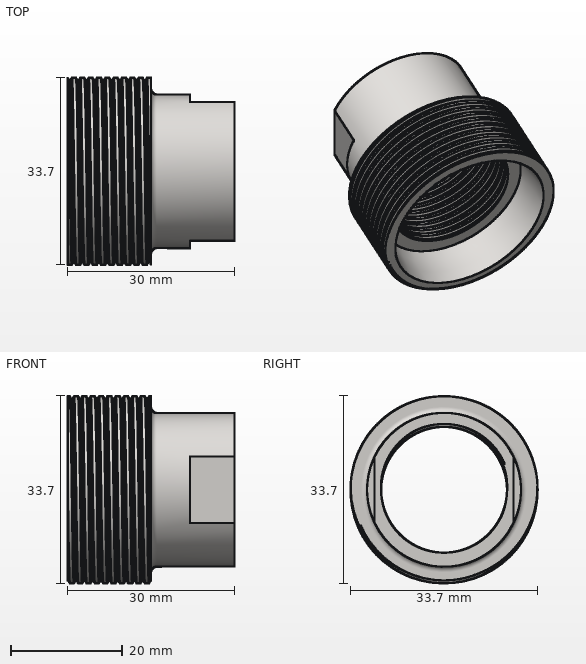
import cadquery as cq
import math

total_length = 30.0
collar_length = 15.0
flat_length = 8.0

collar_radius = 33.7 / 2
neck_radius = 27.7 / 2
neck_fillet = 1.0
width_across_flats = 25.0

seat_mouth_radius = 14.8
seat_floor_radius = 13.8
seat_depth = 7.4
bore_radius = 11.3

pitch = 1.5
groove_depth = 0.55
groove_floor_width = 0.2
flank_angle = 30.0
groove_overrun = 0.05


def make_body():
    """Collar and neck turned about X, with a fillet in the corner between them."""
    fillet_middle = neck_fillet * (1 - math.sqrt(0.5))
    return (
        cq.Workplane("XY")
        .lineTo(0, collar_radius)
        .lineTo(collar_length, collar_radius)
        .lineTo(collar_length, neck_radius + neck_fillet)
        .threePointArc(
            (collar_length + fillet_middle, neck_radius + fillet_middle),
            (collar_length + neck_fillet, neck_radius),
        )
        .lineTo(total_length, neck_radius)
        .lineTo(total_length, 0)
        .close()
        .revolve(360, (0, 0, 0), (1, 0, 0))
    )


def make_seat():
    """Tapered seat opening at the collar end."""
    return (
        cq.Workplane("XY")
        .lineTo(0, seat_mouth_radius)
        .lineTo(seat_depth, seat_floor_radius)
        .lineTo(seat_depth, 0)
        .close()
        .revolve(360, (0, 0, 0), (1, 0, 0))
    )


def make_thread_groove(crest_radius, floor_width, start_x, turns):
    """Right-handed helical groove cutter about X, with one turn more at each end than the given turns.

    The groove is cut from outside, down from crest_radius.
    At start_x the groove centre is at the bottom (-Z).
    """
    floor_half = floor_width / 2
    mouth_half = floor_half + (groove_depth + groove_overrun) * math.tan(math.radians(flank_angle))
    floor_radius = crest_radius - groove_depth
    mouth_radius = crest_radius + groove_overrun
    cutter_length = (turns + 2) * pitch

    section = [
        (mouth_radius, -mouth_half),
        (floor_radius, -floor_half),
        (floor_radius, floor_half),
        (mouth_radius, mouth_half),
    ]
    helices = [
        cq.Wire.makeHelix(pitch, cutter_length, radius, center=cq.Vector(0, 0, offset))
        for radius, offset in section
    ]
    sides = [
        cq.Face.makeRuledSurface(helices[i - 1], helices[i])
        for i in range(len(helices))
    ]
    ends = []
    for height in (0, cutter_length):
        corners = [cq.Vector(radius, 0, height + offset) for radius, offset in section]
        ends.append(cq.Face.makeFromWires(cq.Wire.makePolygon(corners, close=True)))
    groove = cq.Solid.makeSolid(cq.Shell.makeShell(sides + ends))

    return (
        cq.Workplane(obj=groove)
        .rotate((0, 0, 0), (0, 1, 0), 90)
        .translate((start_x - pitch, 0, 0))
    )


def make_bore_plug():
    """Threaded rod with the shape of the bore; its grooves leave the thread crests of the bore."""
    bore_length = total_length - seat_depth
    root_radius = bore_radius + groove_depth
    rod = cq.Workplane("YZ", origin=(seat_depth, 0, 0)).circle(root_radius).extrude(bore_length)
    crest_width = pitch - groove_floor_width - 2 * groove_depth * math.tan(math.radians(flank_angle))
    bore_turns = math.ceil(bore_length / pitch)
    start_x = total_length - bore_turns * pitch
    return rod.cut(make_thread_groove(root_radius, crest_width, start_x, bore_turns))


def make_flat_cutter(side):
    """Block that leaves a wrench flat on the neck; side is -1 or +1 along Y."""
    cut_depth = neck_radius - width_across_flats / 2
    centre_y = side * (width_across_flats + cut_depth) / 2
    return cq.Workplane("XY").box(flat_length, cut_depth, 2 * neck_radius).translate(
        (total_length - flat_length / 2, centre_y, 0)
    )


collar_turns = math.ceil(collar_length / pitch)
collar_groove = make_thread_groove(collar_radius, groove_floor_width, 0, collar_turns)

result = make_body().cut(make_seat()).cut(collar_groove).cut(make_bore_plug())
for side in (-1, 1):
    result = result.cut(make_flat_cutter(side))